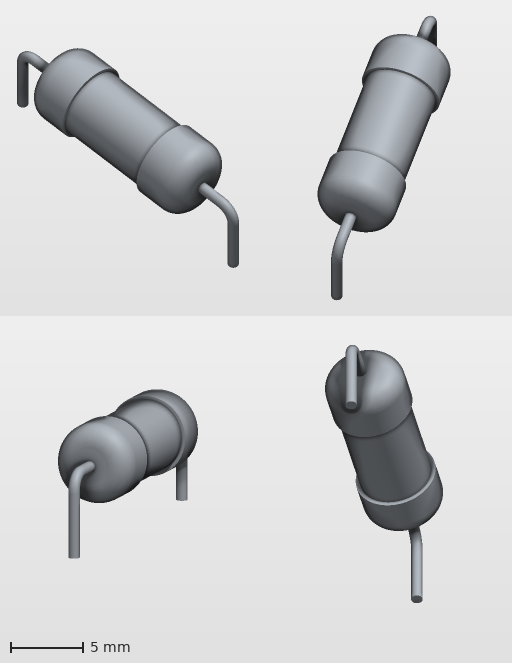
import cadquery as cq


body_length = 14.3
cap_diameter = 5.7
waist_diameter = 5.13
cap_length = body_length / 4
cap_rounding = cap_diameter / 4

lead_diameter = 0.8
lead_pitch = 20.32
lead_depth = 3.0
bend_radius = 1.5 * lead_diameter

axis_height = cap_diameter / 2
lead_x = lead_pitch / 2


def make_waist():
    """Cylinder between the end caps, reaching into each cap up to its rounding."""
    return (
        cq.Workplane("YZ", origin=(0, 0, axis_height))
        .circle(waist_diameter / 2)
        .extrude(body_length / 2 - cap_rounding, both=True)
    )


def make_cap():
    """End cap on the -X end, with its outer rim rounded."""
    return (
        cq.Workplane("YZ", origin=(-body_length / 2, 0, axis_height))
        .circle(cap_diameter / 2)
        .extrude(cap_length)
        .faces("<X")
        .edges()
        .fillet(cap_rounding)
    )


def make_lead():
    """Round wire from the -X lead tip, up and around the bend into the cap."""
    bend_start_z = axis_height - bend_radius
    bend_end_x = -lead_x + bend_radius
    lead_end_x = -body_length / 2 + cap_length / 2
    path = (
        cq.Workplane("XZ")
        .moveTo(-lead_x, -lead_depth)
        .lineTo(-lead_x, bend_start_z)
        .tangentArcPoint((bend_end_x, axis_height), relative=False)
        .lineTo(lead_end_x, axis_height)
    )
    return (
        cq.Workplane("XY", origin=(-lead_x, 0, -lead_depth))
        .circle(lead_diameter / 2)
        .sweep(path)
    )


end = make_cap().union(make_lead())
result = make_waist().union(end).union(end.mirror("YZ"))